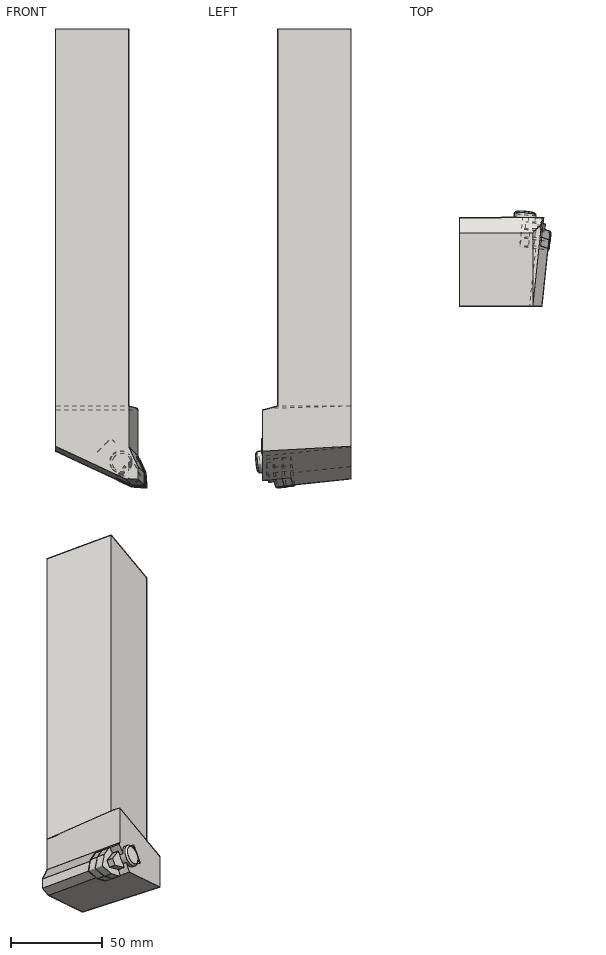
import math

import cadquery as cq

SHANK_SIDE = 40.0
LENGTH = 249.8

HEAD_TOP_Z = 44.7
HEAD_Y = 48.2
STEP_ANGLE = 15.0
LEAN_ANGLE = 6.0
TIP_X = 50.0
NOSE_INSET = 5.0
NOSE_WIDTH = 6.7
SLANT_ANGLE = 25.0

INSERT_WIDTH = 12.7
SHARP_CORNER = 80.0
BLUNT_CORNER = 160.0
INSERT_THICKNESS = 4.7
NOSE_RADIUS = 0.7
SHIM_THICKNESS = INSERT_THICKNESS
SHIM_INSET = 0.12

CLAMP_START = 7.0
CLAMP_LENGTH = 27.0
CLAMP_NOSE_WIDTH = 4.0
CLAMP_TAPER_LENGTH = 10.0
CLAMP_WIDTH = 10.5
CLAMP_THICKNESS = 3.7
SCREW_DIAMETER = 12.0
SCREW_DISTANCE = 21.2
SCREW_HEIGHT = 8.2
SCREW_CHAMFER = 1.0

lean = math.tan(math.radians(LEAN_ANGLE))
half_sharp = math.radians(SHARP_CORNER / 2)
nose_x = TIP_X - NOSE_INSET
nose_z = NOSE_INSET

tilted = cq.Plane(origin=(TIP_X, SHANK_SIDE, 0), xDir=(-1, 2 * lean, 1), normal=(lean, 1, -lean))

corner_gap = NOSE_RADIUS * (1 / math.sin(half_sharp) - math.sqrt(2))
trigon_centre = INSERT_WIDTH / 2 / math.sin(half_sharp) - corner_gap


def head_outline(y):
    """Closed head outline at a given Y, shifted sideways and down by the lean."""
    reach = SHANK_SIDE
    slope = math.tan(math.radians(SLANT_ANGLE))
    slant_x = nose_x - NOSE_WIDTH
    left_z = nose_z + (slant_x + reach) * slope
    flare_z = nose_z + NOSE_WIDTH
    above = HEAD_TOP_Z + HEAD_Y
    points = [
        (-reach, above),
        (SHANK_SIDE, above),
        (SHANK_SIDE, flare_z + (nose_x - SHANK_SIDE) / slope),
        (nose_x, flare_z),
        (nose_x, nose_z),
        (slant_x, nose_z),
        (-reach, left_z),
    ]
    shift = lean * y
    return cq.Wire.makePolygon([cq.Vector(x + shift, y, z - shift) for x, z in points], close=True)


def make_head_limits():
    """Space that bounds the head: vertical on -X and -Y, sloping on top beyond the shank."""
    spread = 2 * SHANK_SIDE
    drop = spread * math.tan(math.radians(STEP_ANGLE))
    wide = SHANK_SIDE + spread
    slope = (
        cq.Workplane("XY", origin=(0, 0, HEAD_TOP_Z - drop))
        .rect(2 * wide, 2 * wide)
        .workplane(offset=drop)
        .rect(2 * SHANK_SIDE, 2 * SHANK_SIDE)
        .loft(ruled=True)
    )
    below = cq.Workplane("XY").box(wide, HEAD_Y, LENGTH, centered=(False, False, True))
    base = cq.Workplane("XY", origin=(0, 0, HEAD_TOP_Z - drop)).rect(2 * wide, 2 * wide).extrude(-LENGTH)
    return slope.union(base).intersect(below)


def make_head():
    """Leaning head prism trimmed to the flat -X and -Y sides and the sloping step."""
    prism = cq.Solid.makeLoft([head_outline(0), head_outline(HEAD_Y)], True)
    return cq.Workplane(prism).intersect(make_head_limits())


def trigon_points(inset):
    """Corners of the trigon, tip first: sharp and blunt corners alternate around its centre."""
    inner_radius = INSERT_WIDTH / 2 - inset
    sharp_reach = inner_radius / math.sin(half_sharp)
    blunt_reach = inner_radius / math.sin(math.radians(BLUNT_CORNER / 2))
    points = []
    for i in range(6):
        reach = blunt_reach if i % 2 else sharp_reach
        angle = math.pi + i * math.pi / 3
        points.append((trigon_centre + reach * math.cos(angle), reach * math.sin(angle)))
    return points


def trigon(inset, bottom, height):
    """Trigon plate shrunk on all sides by the inset, with its three sharp corners rounded."""
    points = trigon_points(inset)
    plate = cq.Workplane(tilted).workplane(offset=bottom).polyline(points).close().extrude(height)
    for x, y in points[::2]:
        middle = tilted.toWorldCoords((x, y, bottom + height / 2))
        plate = plate.edges(cq.selectors.NearestToPointSelector(middle.toTuple())).fillet(NOSE_RADIUS)
    return plate


def make_pocket():
    """Open pocket in the nose whose back walls follow the two inner sides of the insert."""
    points = trigon_points(0)
    side_x, side_y = points[2]
    back_x = points[3][0]
    spread = SHANK_SIDE
    wall_slope = (back_x - side_x) / abs(side_y)
    wall_end = back_x - wall_slope * spread
    front = -INSERT_WIDTH
    return (
        cq.Workplane(tilted)
        .workplane(offset=-INSERT_THICKNESS - SHIM_THICKNESS)
        .polyline([
            (back_x, 0),
            (wall_end, spread),
            (front, spread),
            (front, -spread),
            (wall_end, -spread),
        ])
        .close()
        .extrude(HEAD_Y)
    )


def make_clamp():
    """Bar along the tip bisector that narrows toward its nose and rests on the insert."""
    shoulder = CLAMP_START + CLAMP_TAPER_LENGTH
    end = CLAMP_START + CLAMP_LENGTH
    return (
        cq.Workplane(tilted)
        .polyline([
            (CLAMP_START, -CLAMP_NOSE_WIDTH / 2),
            (shoulder, -CLAMP_WIDTH / 2),
            (end, -CLAMP_WIDTH / 2),
            (end, CLAMP_WIDTH / 2),
            (shoulder, CLAMP_WIDTH / 2),
            (CLAMP_START, CLAMP_NOSE_WIDTH / 2),
        ])
        .close()
        .extrude(CLAMP_THICKNESS)
    )


def make_screw():
    """Clamp screw with a chamfered head, along the lean direction."""
    return (
        cq.Workplane(tilted)
        .center(SCREW_DISTANCE, 0)
        .circle(SCREW_DIAMETER / 2)
        .extrude(SCREW_HEIGHT)
        .faces(cq.selectors.DirectionMinMaxSelector(tilted.zDir))
        .chamfer(SCREW_CHAMFER)
    )


def make_insert():
    """Cutting insert: its upper face passes through the tip."""
    return trigon(0, -INSERT_THICKNESS, INSERT_THICKNESS)


def make_holder(insert):
    """Shank and head with the shim, clamp and screw, leaving room for the insert."""
    shank_length = LENGTH - HEAD_TOP_Z
    shank = (
        cq.Workplane("XY", origin=(0, 0, HEAD_TOP_Z))
        .rect(SHANK_SIDE, SHANK_SIDE, centered=False)
        .extrude(shank_length)
    )
    shim = trigon(SHIM_INSET, -INSERT_THICKNESS - SHIM_THICKNESS, SHIM_THICKNESS)
    body = shank.union(make_head()).cut(make_pocket())
    return body.union(shim).union(make_clamp()).union(make_screw()).cut(insert)


insert = make_insert()
holder = make_holder(insert)
result = cq.Compound.makeCompound([*holder.vals(), *insert.vals()])